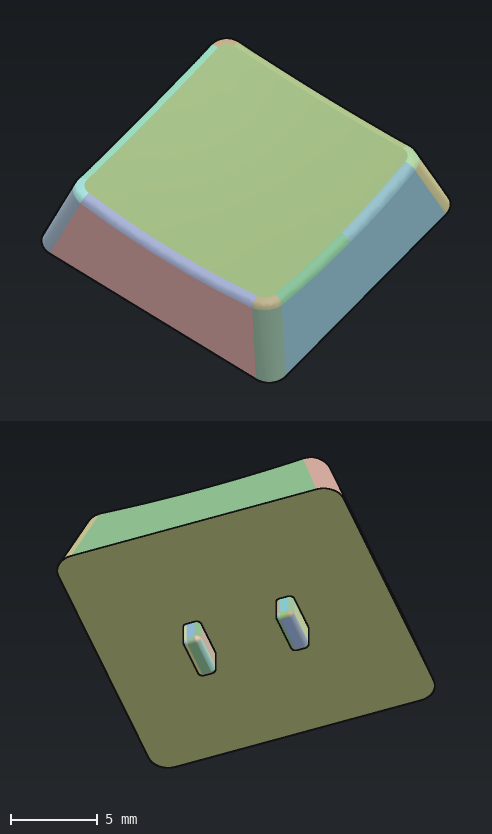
import cadquery as cq
import math

base_side = 17.5
corner_radius = 1.22
wall_draft = 16.2
blank_height = 6.3

dish_radius = 50.05
dish_floor = 3.94
rim_fillet = 0.6

leg_width = 1.1
leg_length = 3.0
leg_drop = 1.5
leg_spacing = 5.7
leg_fillet = 0.3
leg_tip_fillet = 0.28


def rounded_square(side, height):
    """Square profile with rounded corners, centred on Z at the given height."""
    sketch = cq.Sketch().rect(side, side).vertices().fillet(corner_radius)
    return sketch.moved(cq.Location(cq.Vector(0, 0, height)))


def make_cap():
    """Tapered block with constant-radius corners, dished on top."""
    blank_side = base_side - 2 * blank_height * math.tan(math.radians(wall_draft))
    blank = (
        cq.Workplane("XY")
        .placeSketch(rounded_square(base_side, 0), rounded_square(blank_side, blank_height))
        .loft()
    )
    dish = cq.Workplane("XY").sphere(dish_radius).translate((0, 0, dish_floor + dish_radius))
    dished = blank.cut(dish)
    return dished.faces("%SPHERE").edges().fillet(rim_fillet)


def make_leg(x_center):
    """Rounded leg hanging below the cap."""
    leg = cq.Workplane("XY").center(x_center, 0).rect(leg_width, leg_length).extrude(-leg_drop)
    return leg.edges("|Z").fillet(leg_fillet).faces("<Z").edges().fillet(leg_tip_fillet)


result = make_cap()
for side in (-1, 1):
    result = result.union(make_leg(side * leg_spacing / 2))